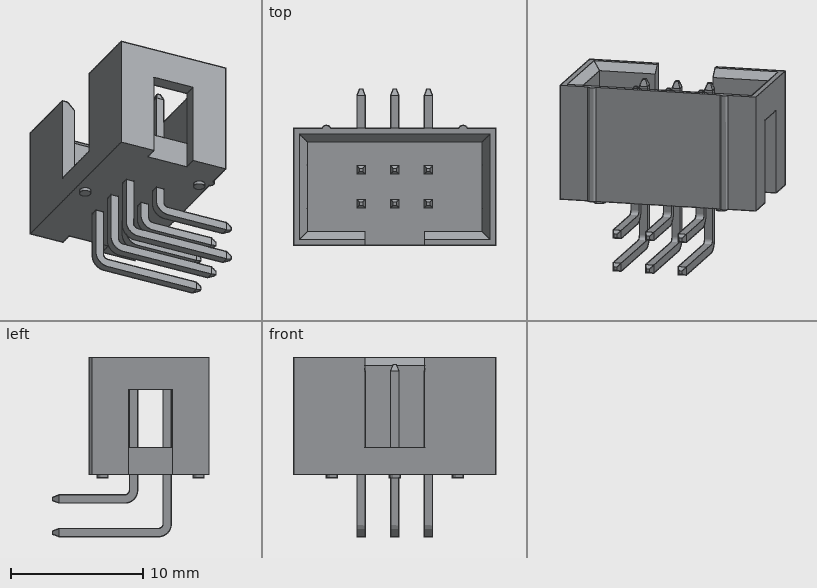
import cadquery as cq
import math


length = 15.28
depth = 8.85
height = 8.85
wall = 1.05
floor = 2.05
lead_in = 0.6
key_width = 4.5
window_width = 3.3
window_top = 6.42

standoff_diameter = 0.85
standoff_height = 0.25
standoff_inset = 0.8
side_spacing = 4.76
rib_spacing = 5.16
rib_diameter = 0.7
rib_height = 0.225

pitch = 2.54
columns = 3
pin = 0.64
tip_length = 0.5
tip_flat = 0.25
pin_top = 8.33
tail_reach = 2.97
tail_drop = 4.7
tail_end = depth / 2 + tail_reach
bend_outer = 1.0
tip_taper = math.degrees(math.atan((pin - tip_flat) / 2 / tip_length))

column_places = [(i - (columns - 1) / 2) * pitch for i in range(columns)]
front_tail_z = pin / 2 - tail_drop
rows = [(-pitch / 2, front_tail_z), (pitch / 2, front_tail_z + pitch)]


def block(x_size, y_size, z_bottom, z_top):
    """Box centred on X and Y between two heights."""
    return cq.Workplane("XY", origin=(0, 0, z_bottom)).box(
        x_size, y_size, z_top - z_bottom, centered=(True, True, False)
    )


def make_cavity():
    """Space inside the walls, flaring out at the mouth."""
    inner_length = length - 2 * wall
    inner_depth = depth - 2 * wall
    straight = block(inner_length, inner_depth, floor, height)
    mouth = (
        cq.Workplane("XY", origin=(0, 0, height - lead_in))
        .rect(inner_length, inner_depth)
        .workplane(offset=lead_in)
        .rect(inner_length + 2 * lead_in, inner_depth + 2 * lead_in)
        .loft(ruled=True)
    )
    return straight.union(mouth)


def make_housing():
    """Open box with key notch, end windows, crush ribs, standoffs and pin holes."""
    shell = block(length, depth, 0, height)

    rib_axis = depth / 2 + rib_height - rib_diameter / 2
    ribs = (
        cq.Workplane("XY")
        .pushPoints([(-rib_spacing, rib_axis), (rib_spacing, rib_axis)])
        .circle(rib_diameter / 2)
        .extrude(height)
    )
    standoff_y = depth / 2 - standoff_inset
    standoffs = (
        cq.Workplane("XY")
        .pushPoints([(-side_spacing, standoff_y), (side_spacing, standoff_y), (0, -standoff_y)])
        .circle(standoff_diameter / 2)
        .extrude(-standoff_height)
    )

    key_notch = block(key_width, wall, floor, height).translate((0, (wall - depth) / 2, 0))
    body = shell.union(ribs).cut(make_cavity()).cut(key_notch).union(standoffs)

    for side in (-1, 1):
        window = block(wall, window_width, 0, window_top)
        body = body.cut(window.translate((side * (length - wall) / 2, 0, 0)))

    pin_holes = (
        cq.Workplane("XY")
        .pushPoints([(x, y) for x in column_places for y, _ in rows])
        .rect(pin, pin)
        .extrude(floor)
    )
    return body.cut(pin_holes)


def make_tip(plane):
    """Square pin tapering to a blunt tip along the plane's normal."""
    return cq.Workplane(plane).rect(pin, pin).extrude(tip_length, taper=tip_taper)


def make_pin(x, y, tail_z):
    """Square pin rising through the floor, with its tail bent towards +Y."""
    half = pin / 2
    shank_top = pin_top - tip_length
    shank_end = tail_end - tip_length
    bend_inner = bend_outer - pin
    bend_y = y - half + bend_outer
    bend_z = tail_z - half + bend_outer
    diagonal = math.sqrt(0.5)
    outer_mid = (bend_y - bend_outer * diagonal, bend_z - bend_outer * diagonal)
    inner_mid = (bend_y - bend_inner * diagonal, bend_z - bend_inner * diagonal)
    shank = (
        cq.Workplane("YZ", origin=(x, 0, 0))
        .moveTo(y - half, shank_top)
        .lineTo(y - half, bend_z)
        .threePointArc(outer_mid, (bend_y, tail_z - half))
        .lineTo(shank_end, tail_z - half)
        .lineTo(shank_end, tail_z + half)
        .lineTo(bend_y, tail_z + half)
        .threePointArc(inner_mid, (y + half, bend_z))
        .lineTo(y + half, shank_top)
        .close()
        .extrude(half, both=True)
    )
    top_tip = make_tip(cq.Plane(origin=(x, y, shank_top), xDir=(1, 0, 0), normal=(0, 0, 1)))
    tail_tip = make_tip(cq.Plane(origin=(x, shank_end, tail_z), xDir=(1, 0, 0), normal=(0, 1, 0)))
    return shank.union(top_tip).union(tail_tip)


housing = make_housing()
pins = [make_pin(x, y, tail_z) for x in column_places for y, tail_z in rows]

result = cq.Compound.makeCompound([housing.val(), *[p.val() for p in pins]])